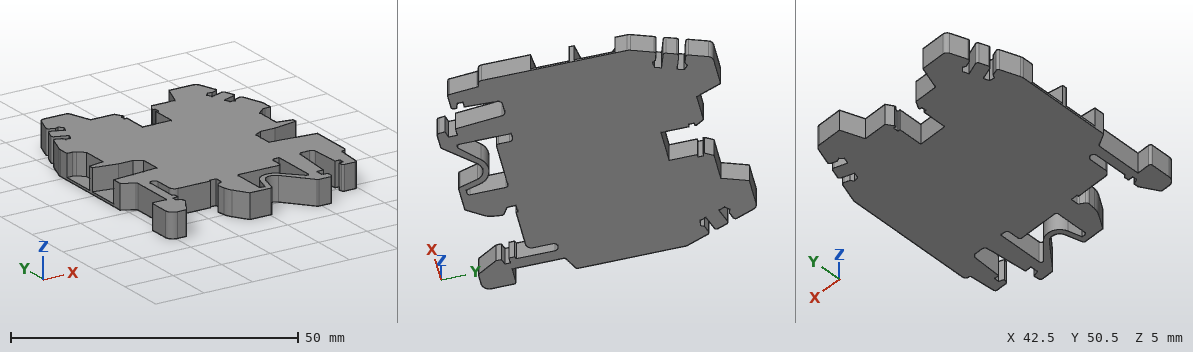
import cadquery as cq
import math

height = 50.5
thickness = 5.0
half_width = 21.0

slot_half_width = 3.0
slot_floor_y = 38.0
groove_depth = 0.5
groove_bottom_y = 43.05
groove_top_y = 44.05
lip_top_y = 44.35
lip_chamfer_width = 0.85
shelf_y = 45.8
shelf_outer_x = 8.75
horn_inner_x = 10.4
flank_top_x = 16.1
flank_bottom_y = 36.65
flank_bottom_radius = 1.9
horn_radius = 1.05

tongue_centre = 7.25
tongue_width = 2.75
notch_width = 1.2
notch_depth = 3.15
barb_start_depth = 1.65
barb_tip_depth = 2.2
barb_height = 0.48
notch_radius = 0.45

body_bottom_y = 9.5
recess_top_y = 12.6
catch_y = 6.0
catch_notch_bottom_y = 5.05
catch_tip_y = 4.65
small_radius = 0.45

shoulder_y = 16.9
left_leg_outer_x = -18.4
left_leg_top_y = 15.5
left_leg_inner_x = -16.45
left_foot_outer_x = -21.5
left_foot_toe_x = -18.1
left_foot_tip_x = -16.0
left_foot_tip_bottom_y = 3.7
left_foot_radius = 1.5
left_notch_x = -17.05
left_bead_top_y = 7.25
left_bead_bottom_y = 7.0
left_gap_inner_x = -14.95
left_gap_top_y = 14.9
left_gap_radius = (left_gap_inner_x - left_leg_inner_x) / 2
body_corner_radius = 1.1

hook_step_x = -7.05
hook_step_height = 0.35
hook_neck_x = -5.7
hook_neck_bottom_y = 8.25
hook_nose_x = -7.15
hook_nose_y = 7.25
hook_nose_radius = 0.7
hook_belly_x = -6.8
hook_belly_y = 4.55
hook_belly_radius = 4.05
hook_bottom_left_x = -4.45
hook_bottom_y = 0.95

spring_x = 3.0
spring_y = 4.2
spring_outer_radius = 2.9
spring_thickness = 1.05
spring_inner_radius = spring_outer_radius - spring_thickness
left_run_angle = 165.0
right_run_outer_angle = 45.0
right_run_inner_angle = 41.0

window_left_x = -1.6
window_right_x = 9.05
window_step_x = 7.45
window_floor_y = 2.15
window_step_radius = 0.65

right_foot_outer_x = 12.0
right_foot_tip_x = 12.15
right_foot_tip_y = 1.5
right_notch_x = 10.95
right_notch_bottom_y = 1.85
right_notch_top_y = 3.45
recess_left_bottom_x = 12.3
recess_left_top_x = 13.1
recess_right_top_x = 16.05
recess_right_bottom_x = 16.35
recess_radius = 0.75
right_body_radius = 0.75
right_leg_root_radius = 0.3
right_catch_x = 17.35
right_leg_toe_x = 16.5
right_leg_bottom_y = 3.75
right_leg_bottom_x = 19.5
right_leg_top_x = 19.9

pocket_floor_z = 0.5
upper_pocket_inner_x = 17.9
upper_pocket_top_y = 34.2
upper_pocket_bevel_x = 19.45
upper_pocket_bevel_y = 32.75
upper_pocket_bevel_radius = 1.0
upper_pocket_bottom_inner_y = 27.4
upper_pocket_bottom_outer_y = 26.85
lower_pocket_inner_x = 11.55
lower_pocket_mouth_top_y = 25.95
lower_pocket_ledge_x = 16.1
lower_pocket_ledge_y = 25.1
lower_pocket_bevel_x = 13.2
lower_pocket_bevel_y = 24.15
lower_pocket_bottom_inner_y = 19.9
lower_pocket_bottom_outer_y = 19.05


def unit(start, end):
    """Unit vector from start to end."""
    length = math.dist(start, end)
    return (end[0] - start[0]) / length, (end[1] - start[1]) / length


def rounded_profile(corners):
    """Closed wire through corners (x, y) or (x, y, radius)."""
    spans = []
    for i, corner in enumerate(corners):
        point = corner[:2]
        if len(corner) == 2:
            spans.append((point,))
            continue
        radius = corner[2]
        back = unit(point, corners[i - 1][:2])
        ahead = unit(point, corners[(i + 1) % len(corners)][:2])
        half_angle = math.acos(back[0] * ahead[0] + back[1] * ahead[1]) / 2
        setback = radius / math.tan(half_angle)
        to_arc = radius / math.sin(half_angle) - radius
        inward = unit((0, 0), (back[0] + ahead[0], back[1] + ahead[1]))
        spans.append((
            (point[0] + back[0] * setback, point[1] + back[1] * setback),
            (point[0] + inward[0] * to_arc, point[1] + inward[1] * to_arc),
            (point[0] + ahead[0] * setback, point[1] + ahead[1] * setback),
        ))
    touching = 5.05e-07
    position = spans[0][-1]
    sketch = cq.Workplane("XY").moveTo(*position)
    for span in spans[1:] + spans[:1]:
        if math.dist(position, span[0]) > touching:
            sketch = sketch.lineTo(*span[0])
        position = span[-1]
        if len(span) == 3:
            sketch = sketch.threePointArc(span[1], span[2])
    return sketch.close()


def mirrored(corners):
    """Corners reflected across X = 0, in reverse order."""
    return [(-corner[0], *corner[1:]) for corner in reversed(corners)]


def flank_corner(along, depth, *radius):
    """Corner placed by its distance down the right flank and its depth into the body."""
    dx, dy = unit((flank_top_x, height), (half_width, flank_bottom_y))
    x = flank_top_x + dx * along + dy * depth
    y = height + dy * along - dx * depth
    return (x, y, *radius)


def notch(direction):
    """Barbed notch beside the tongue, from the tongue outwards: -1 above it, +1 below it."""
    near = tongue_centre + direction * tongue_width / 2
    far = near + direction * notch_width
    return [
        flank_corner(near, 0, notch_radius),
        flank_corner(near, notch_depth),
        flank_corner(far, notch_depth),
        flank_corner(far + direction * barb_height, barb_tip_depth),
        flank_corner(far, barb_start_depth),
        flank_corner(far, 0, notch_radius),
    ]


def head_right():
    """Right half of the head, from the slot floor to the bottom of the flank."""
    groove_x = slot_half_width + groove_depth
    return [
        (slot_half_width, slot_floor_y),
        (slot_half_width, groove_bottom_y),
        (groove_x, groove_bottom_y),
        (groove_x, groove_top_y),
        (slot_half_width, groove_top_y),
        (slot_half_width, lip_top_y),
        (slot_half_width + lip_chamfer_width, shelf_y),
        (shelf_outer_x, shelf_y),
        (horn_inner_x, height),
        (flank_top_x, height, horn_radius),
        *reversed(notch(-1)),
        *notch(1),
        (half_width, flank_bottom_y, flank_bottom_radius),
    ]


def right_leg():
    """Right outer leg and the recess beside it, from the side face inwards."""
    return [
        (half_width, body_bottom_y, right_body_radius),
        (right_leg_top_x, body_bottom_y, right_leg_root_radius),
        (right_leg_bottom_x, right_leg_bottom_y, small_radius),
        (right_leg_toe_x, right_leg_bottom_y, small_radius),
        (recess_right_bottom_x, catch_tip_y),
        (right_catch_x, catch_notch_bottom_y),
        (right_catch_x, catch_y),
        (recess_right_bottom_x, catch_y),
        (recess_right_top_x, recess_top_y, recess_radius),
        (recess_left_top_x, recess_top_y, recess_radius),
        (recess_left_bottom_x, right_notch_top_y),
    ]


def spring_normal(angle, radius):
    """Point of a spring arc whose normal has the given direction in degrees."""
    turn = math.radians(angle)
    return spring_x + radius * math.cos(turn), spring_y + radius * math.sin(turn)


def spring_apex(right_angle, radius):
    """Corner where the straight runs would meet, rounded to the spring arc."""
    half_turn = math.radians(left_run_angle - right_angle) / 2
    reach = radius / math.cos(half_turn)
    return (*spring_normal((left_run_angle + right_angle) / 2, reach), radius)


def spring_run_x(angle, radius, y):
    """X where the straight run tangent to the arc at the given angle reaches height y."""
    touch_x, touch_y = spring_normal(angle, radius)
    return touch_x + (touch_y - y) * math.tan(math.radians(angle))


def spring_foot():
    """Foot at the right end of the spring and the underside of the spring, right to left."""
    toe_x = spring_run_x(right_run_inner_angle, spring_inner_radius, 0)
    left_end_x = spring_run_x(left_run_angle, spring_inner_radius, hook_bottom_y)
    return [
        (right_notch_x, right_notch_top_y),
        (right_notch_x, right_notch_bottom_y),
        (right_foot_tip_x, right_foot_tip_y),
        (right_foot_outer_x, 0, small_radius),
        (toe_x, 0, small_radius),
        spring_apex(right_run_inner_angle, spring_inner_radius),
        (left_end_x, hook_bottom_y, small_radius),
    ]


def hook():
    """Rounded hook nose left of the spring, from its bottom up to the body."""
    return [
        (hook_bottom_left_x, hook_bottom_y),
        (hook_belly_x, hook_belly_y, hook_belly_radius),
        (hook_nose_x, hook_nose_y, hook_nose_radius),
        (hook_neck_x, hook_neck_bottom_y, small_radius),
        (hook_neck_x, body_bottom_y + hook_step_height),
        (hook_step_x, body_bottom_y + hook_step_height),
        (hook_step_x, body_bottom_y),
    ]


def left_leg():
    """Slender left leg with its foot, from the gap beside it out to the side face."""
    return [
        (left_gap_inner_x, body_bottom_y, body_corner_radius),
        (left_gap_inner_x, left_gap_top_y, left_gap_radius),
        (left_leg_inner_x, left_gap_top_y, left_gap_radius),
        (left_leg_inner_x, left_bead_top_y),
        (left_foot_tip_x, left_bead_bottom_y),
        (left_foot_tip_x, catch_y),
        (left_notch_x, catch_y),
        (left_notch_x, catch_notch_bottom_y),
        (left_foot_tip_x, catch_tip_y),
        (left_foot_tip_x, left_foot_tip_bottom_y),
        (left_foot_toe_x, 0, small_radius),
        (left_foot_outer_x, 0, left_foot_radius),
        (left_foot_outer_x, catch_y, small_radius),
        (left_leg_outer_x, catch_y),
        (left_leg_outer_x, left_leg_top_y, small_radius),
        (-half_width, shoulder_y),
    ]


def window():
    """Closed opening between the body, the hook and the spring."""
    slot_x = spring_run_x(left_run_angle, spring_outer_radius, window_floor_y)
    touch_x, touch_y = spring_normal(right_run_outer_angle, spring_outer_radius)
    run_slope = math.tan(math.radians(right_run_outer_angle - 90))
    run_end_y = touch_y + (window_right_x - touch_x) * run_slope
    return [
        (window_left_x, body_bottom_y, small_radius),
        (window_step_x, body_bottom_y, small_radius),
        (window_step_x, recess_top_y, window_step_radius),
        (window_right_x, recess_top_y),
        (window_right_x, run_end_y, small_radius),
        spring_apex(right_run_outer_angle, spring_outer_radius),
        (slot_x, window_floor_y),
        (window_left_x, window_floor_y, small_radius),
    ]


def upper_pocket():
    """Right upper pocket with a bevelled top corner and a sloping lower edge."""
    return [
        (half_width, upper_pocket_top_y),
        (upper_pocket_bevel_x, upper_pocket_top_y, upper_pocket_bevel_radius),
        (upper_pocket_inner_x, upper_pocket_bevel_y),
        (upper_pocket_inner_x, upper_pocket_bottom_inner_y),
        (half_width, upper_pocket_bottom_outer_y),
    ]


def lower_pocket():
    """Right lower pocket, narrowing inwards."""
    return [
        (half_width, lower_pocket_mouth_top_y),
        (lower_pocket_ledge_x, lower_pocket_ledge_y),
        (lower_pocket_bevel_x, lower_pocket_ledge_y),
        (lower_pocket_inner_x, lower_pocket_bevel_y),
        (lower_pocket_inner_x, lower_pocket_bottom_inner_y),
        (half_width, lower_pocket_bottom_outer_y),
    ]


outline = head_right() + right_leg() + spring_foot() + hook() + left_leg() + mirrored(head_right())
result = rounded_profile(outline).extrude(thickness)
result = result.cut(rounded_profile(window()).extrude(thickness))

for pocket in (upper_pocket(), lower_pocket()):
    for corners in (pocket, mirrored(pocket)):
        cutter = rounded_profile(corners).extrude(thickness - pocket_floor_z)
        result = result.cut(cutter.translate((0, 0, pocket_floor_z)))